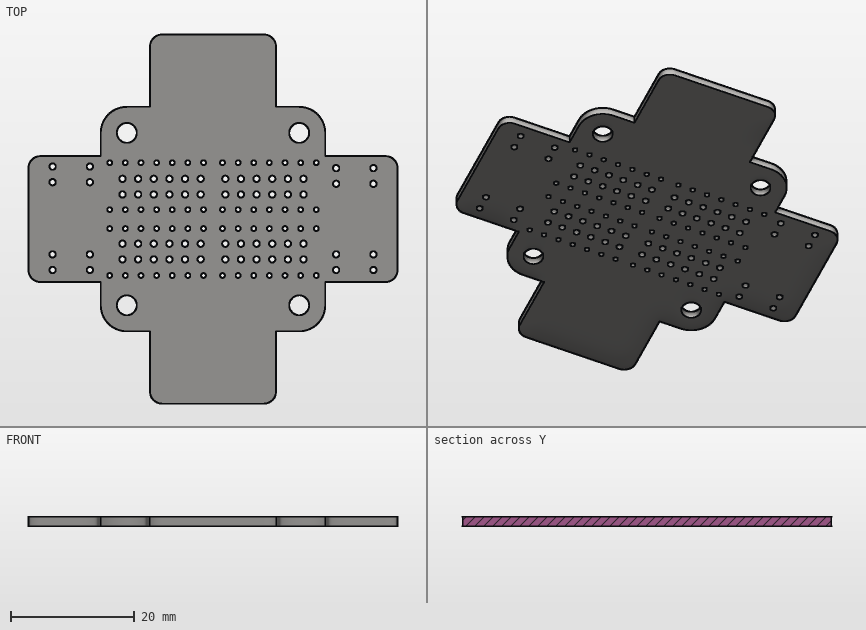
import cadquery as cq

plate_thickness = 1.58
arm_length = 60.0
arm_width = 20.5
arm_corner_radius = 2.0
square_size = 36.5
square_corner_radius = 4.25

mount_hole_diameter = 3.2
mount_hole_offset = square_size / 2 - square_corner_radius

pitch = 2.54
small_hole_diameter = 0.76
small_hole_columns = 7
small_hole_first_x = 1.54
small_hole_first_y = 1.54
small_row_spacing = 3 * pitch
pin_hole_diameter = 1.0
pin_hole_columns = 6
pin_hole_first_x = 2.0
pin_hole_first_y = 4.0

arm_hole_diameter = 1.0
arm_hole_inner_x = 20.0
arm_hole_outer_x = 26.05
arm_pair_inner_y = 5.73
left_back_pair_inner_y = 5.99


def rounded_plate(size_x, size_y, corner_radius):
    """Rectangular plate on the XY plane with rounded vertical corners."""
    plate = cq.Workplane("XY").rect(size_x, size_y).extrude(plate_thickness)
    return plate.edges("|Z").fillet(corner_radius)


def mirrored_grid(x_values, y_values):
    """Points at every sign combination of the given distances from the centre."""
    return [
        (side_x * x, side_y * y)
        for side_x in (-1, 1)
        for side_y in (-1, 1)
        for x in x_values
        for y in y_values
    ]


def arm_hole_points():
    """Two columns of hole pairs, front and back, in each of the left and right arms."""
    points = []
    for side_x, back_inner_y in ((-1, left_back_pair_inner_y), (1, arm_pair_inner_y)):
        for x in (arm_hole_inner_x, arm_hole_outer_x):
            for step in (0, pitch):
                points.append((side_x * x, back_inner_y + step))
                points.append((side_x * x, -arm_pair_inner_y - step))
    return points


def drill(plate, points, diameter):
    """Cut round through holes at the given points."""
    cutters = cq.Workplane("XY").pushPoints(points).circle(diameter / 2).extrude(plate_thickness)
    return plate.cut(cutters)


plate = rounded_plate(square_size, square_size, square_corner_radius)
plate = plate.union(rounded_plate(arm_length, arm_width, arm_corner_radius))
plate = plate.union(rounded_plate(arm_width, arm_length, arm_corner_radius))

plate = drill(plate, mirrored_grid([mount_hole_offset], [mount_hole_offset]), mount_hole_diameter)

small_hole_x = [small_hole_first_x + i * pitch for i in range(small_hole_columns)]
small_hole_y = [small_hole_first_y, small_hole_first_y + small_row_spacing]
plate = drill(plate, mirrored_grid(small_hole_x, small_hole_y), small_hole_diameter)

pin_hole_x = [pin_hole_first_x + i * pitch for i in range(pin_hole_columns)]
pin_hole_y = [pin_hole_first_y, pin_hole_first_y + pitch]
plate = drill(plate, mirrored_grid(pin_hole_x, pin_hole_y), pin_hole_diameter)

plate = drill(plate, arm_hole_points(), arm_hole_diameter)

result = plate